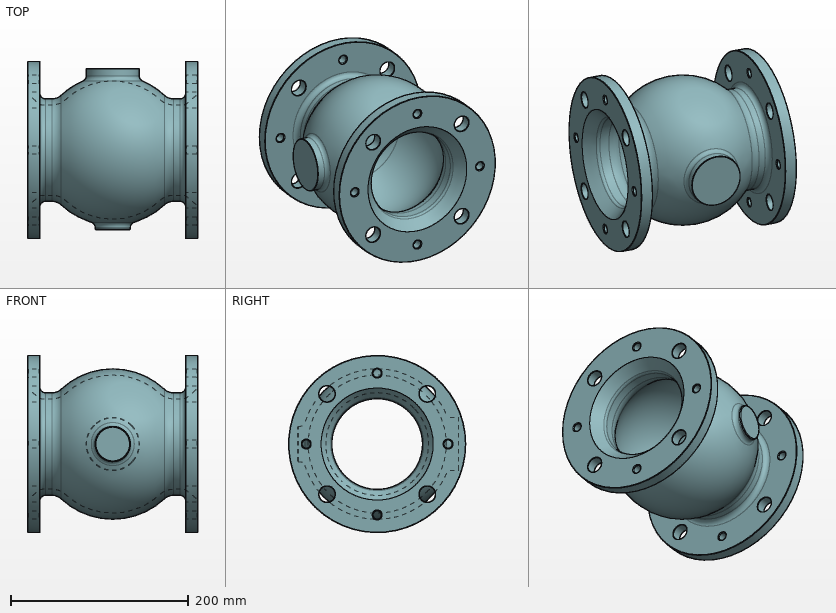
import cadquery as cq
import math

LENGTH = 192.0
FLANGE_RADIUS = 100.0
FLANGE_THICKNESS = 14.0
FLANGE_CHAMFER = 0.5

BALL_RADIUS = 85.0
WALL = 7.0
NECK_RADIUS = 58.0
NECK_BALL_FILLET = 15.0
NECK_FLANGE_FILLET = 6.0

MOUTH_RADIUS = 63.2
MOUTH_DEPTH = 14.5
MOUTH_FILLET = 6.0

PITCH_RADIUS = 80.0
BOLT_HOLE_DIAMETER = 18.0
BOLT_HOLE_CHAMFER = 0.5
SMALL_HOLE_DIAMETER = 9.2
SMALL_HOLE_CHAMFER = 1.0

FRONT_BOSS_RADIUS = 20.0
FRONT_BOSS_REACH = 90.0
FRONT_BOSS_CHAMFER = 1.0
BACK_BOSS_RADIUS = 30.0
BACK_BOSS_REACH = 92.0
BACK_BOSS_CHAMFER = 0.5
BOSS_FOOT_FILLET = 6.0

HALF_LENGTH = LENGTH / 2
FLANGE_BACK = HALF_LENGTH - FLANGE_THICKNESS
BORE_RADIUS = NECK_RADIUS - WALL
CAVITY_RADIUS = BALL_RADIUS - WALL


def arc_middle(center, radius, start, end):
    """Point of the short arc about center, halfway between start and end."""
    dx = (start[0] + end[0]) / 2 - center[0]
    dy = (start[1] + end[1]) / 2 - center[1]
    scale = radius / math.hypot(dx, dy)
    return (center[0] + dx * scale, center[1] + dy * scale)


def revolved_ball_and_necks(ball_radius, neck_radius, blend_radius):
    """Ball with a straight neck on both sides, joined by tangent arcs, along the whole X length."""
    blend_y = neck_radius + blend_radius
    blend_distance = ball_radius + blend_radius
    blend_x = math.sqrt(blend_distance**2 - blend_y**2)
    tangent_x = blend_x * ball_radius / blend_distance
    tangent_y = blend_y * ball_radius / blend_distance
    neck_start = (blend_x, neck_radius)
    ball_end = (tangent_x, tangent_y)
    blend_mid = arc_middle((blend_x, blend_y), blend_radius, neck_start, ball_end)
    return (
        cq.Workplane("XY")
        .moveTo(-HALF_LENGTH, 0)
        .lineTo(-HALF_LENGTH, neck_radius)
        .lineTo(-blend_x, neck_radius)
        .threePointArc((-blend_mid[0], blend_mid[1]), (-tangent_x, tangent_y))
        .threePointArc((0, ball_radius), ball_end)
        .threePointArc(blend_mid, neck_start)
        .lineTo(HALF_LENGTH, neck_radius)
        .lineTo(HALF_LENGTH, 0)
        .close()
        .revolve(360, (0, 0, 0), (1, 0, 0))
    )


def flange():
    """Flange disc at +X with chamfered rims and a fillet down to the neck."""
    rim = FLANGE_RADIUS - FLANGE_CHAMFER
    fillet_end = (FLANGE_BACK - NECK_FLANGE_FILLET, NECK_RADIUS)
    fillet_start = (FLANGE_BACK, NECK_RADIUS + NECK_FLANGE_FILLET)
    fillet_center = (fillet_end[0], fillet_start[1])
    fillet_mid = arc_middle(fillet_center, NECK_FLANGE_FILLET, fillet_start, fillet_end)
    return (
        cq.Workplane("XY")
        .moveTo(HALF_LENGTH, 0)
        .lineTo(HALF_LENGTH, rim)
        .lineTo(HALF_LENGTH - FLANGE_CHAMFER, FLANGE_RADIUS)
        .lineTo(FLANGE_BACK + FLANGE_CHAMFER, FLANGE_RADIUS)
        .lineTo(FLANGE_BACK, rim)
        .lineTo(*fillet_start)
        .threePointArc(fillet_mid, fillet_end)
        .lineTo(fillet_end[0], 0)
        .close()
        .revolve(360, (0, 0, 0), (1, 0, 0))
    )


def mouth():
    """Conical mouth at +X, rounded where it meets the bore."""
    corner_x = HALF_LENGTH - MOUTH_DEPTH
    slope = math.atan2(MOUTH_RADIUS - BORE_RADIUS, MOUTH_DEPTH)
    tangent_length = MOUTH_FILLET * math.tan(slope / 2)
    bore_end = (corner_x - tangent_length, BORE_RADIUS)
    cone_end = (
        corner_x + tangent_length * math.cos(slope),
        BORE_RADIUS + tangent_length * math.sin(slope),
    )
    fillet_center = (bore_end[0], BORE_RADIUS + MOUTH_FILLET)
    fillet_mid = arc_middle(fillet_center, MOUTH_FILLET, bore_end, cone_end)
    return (
        cq.Workplane("XY")
        .moveTo(bore_end[0], 0)
        .lineTo(*bore_end)
        .threePointArc(fillet_mid, cone_end)
        .lineTo(HALF_LENGTH, MOUTH_RADIUS)
        .lineTo(HALF_LENGTH, 0)
        .close()
        .revolve(360, (0, 0, 0), (1, 0, 0))
    )


def flange_hole(diameter, chamfer, angle):
    """Through hole of the +X flange on the pitch circle, chamfered at both ends."""
    radius = diameter / 2
    profile = [
        (FLANGE_BACK, 0),
        (FLANGE_BACK, radius + chamfer),
        (FLANGE_BACK + chamfer, radius),
        (HALF_LENGTH - chamfer, radius),
        (HALF_LENGTH, radius + chamfer),
        (HALF_LENGTH, 0),
    ]
    return (
        cq.Workplane("XY")
        .polyline(profile)
        .close()
        .revolve(360, (0, 0, 0), (1, 0, 0))
        .translate((0, PITCH_RADIUS, 0))
        .rotate((0, 0, 0), (1, 0, 0), angle)
    )


def boss(radius, reach, chamfer):
    """Round boss along +Y with a chamfered end and a flared foot tangent to the ball."""
    foot_x = radius + BOSS_FOOT_FILLET
    foot_distance = BALL_RADIUS + BOSS_FOOT_FILLET
    foot_y = math.sqrt(foot_distance**2 - foot_x**2)
    ball_point = (foot_x * BALL_RADIUS / foot_distance, foot_y * BALL_RADIUS / foot_distance)
    side_point = (radius, foot_y)
    foot_mid = arc_middle((foot_x, foot_y), BOSS_FOOT_FILLET, ball_point, side_point)
    core_y = CAVITY_RADIUS / 2
    return (
        cq.Workplane("XY")
        .moveTo(0, core_y)
        .lineTo(radius, core_y)
        .lineTo(*ball_point)
        .threePointArc(foot_mid, side_point)
        .lineTo(radius, reach - chamfer)
        .lineTo(radius - chamfer, reach)
        .lineTo(0, reach)
        .close()
        .revolve(360, (0, 0, 0), (0, 1, 0))
    )


def on_both_ends(shape):
    """The shape together with its mirror image at the other end of the X axis."""
    return shape.union(shape.mirror("YZ"))


body = revolved_ball_and_necks(BALL_RADIUS, NECK_RADIUS, NECK_BALL_FILLET)
body = body.union(on_both_ends(flange()))
body = body.union(boss(BACK_BOSS_RADIUS, BACK_BOSS_REACH, BACK_BOSS_CHAMFER))
front_boss = boss(FRONT_BOSS_RADIUS, FRONT_BOSS_REACH, FRONT_BOSS_CHAMFER)
body = body.union(front_boss.mirror("XZ"))

body = body.cut(revolved_ball_and_necks(CAVITY_RADIUS, BORE_RADIUS, NECK_BALL_FILLET + WALL))
body = body.cut(on_both_ends(mouth()))

for quarter in range(4):
    axis_angle = 90 * quarter
    bolt_hole = flange_hole(BOLT_HOLE_DIAMETER, BOLT_HOLE_CHAMFER, axis_angle + 45)
    small_hole = flange_hole(SMALL_HOLE_DIAMETER, SMALL_HOLE_CHAMFER, axis_angle)
    body = body.cut(on_both_ends(bolt_hole))
    body = body.cut(on_both_ends(small_hole))

result = body